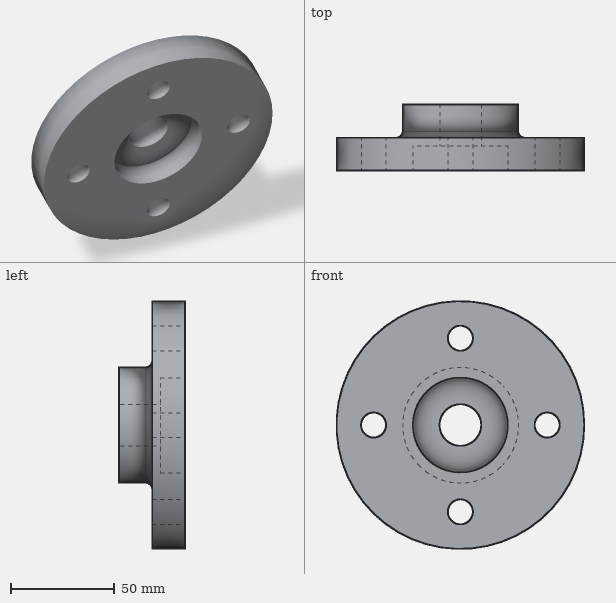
import cadquery as cq

flange_diameter = 120.0
flange_thickness = 16.0

hub_diameter = 56.0
overall_depth = 32.0
hub_fillet_radius = 3.0

bore_diameter = 20.0
recess_diameter = 46.0
recess_depth = 12.0

bolt_hole_diameter = 12.0
bolt_circle_diameter = 84.0
bolt_hole_count = 4


def cylinder(diameter, length):
    """Cylinder on the part axis, running from the front face toward +Y."""
    return cq.Workplane("XZ").circle(diameter / 2).extrude(-length)


def flange_with_hub():
    """Flange and hub joined by a fillet at the foot of the hub."""
    body = cylinder(flange_diameter, flange_thickness).union(cylinder(hub_diameter, overall_depth))
    smallest_circle = cq.selectors.RadiusNthSelector(0)
    return body.faces("<Y[1]").edges(smallest_circle).fillet(hub_fillet_radius)


def bolt_holes():
    """Through holes evenly spaced on the bolt circle."""
    return (
        cq.Workplane("XZ")
        .polarArray(bolt_circle_diameter / 2, 0, 360, bolt_hole_count)
        .circle(bolt_hole_diameter / 2)
        .extrude(-flange_thickness)
    )


result = (
    flange_with_hub()
    .cut(cylinder(bore_diameter, overall_depth))
    .cut(cylinder(recess_diameter, recess_depth))
    .cut(bolt_holes())
)